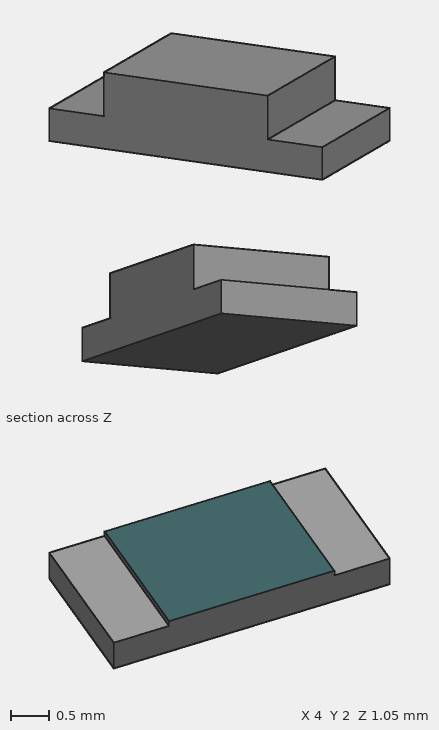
import cadquery as cq

board_length = 4.0
board_width = 2.0
board_thickness = 0.45

body_length = 2.4
body_height = 0.6

terminal_length = 0.6
pair_terminal_width = 0.6
pair_terminal_gap = 0.4
single_terminal_width = 0.76
pair_offset = (pair_terminal_width + pair_terminal_gap) / 2


def block(length, width, height, center_x=0, center_y=0, base_z=0):
    """Box centred in X and Y, standing on base_z."""
    return (
        cq.Workplane("XY")
        .box(length, width, height, centered=(True, True, False))
        .translate((center_x, center_y, base_z))
    )


def terminal(width, end, center_y):
    """Terminal at the -X end (end = -1) or the +X end (end = 1)."""
    center_x = end * (board_length - terminal_length) / 2
    return block(terminal_length, width, board_thickness, center_x, center_y)


board = block(board_length, board_width, board_thickness)
body = block(body_length, board_width, body_height, base_z=board_thickness)

terminals = [
    terminal(pair_terminal_width, -1, -pair_offset),
    terminal(pair_terminal_width, -1, pair_offset),
    terminal(single_terminal_width, 1, 0),
]

result = board.union(body, clean=False)
for pad in terminals:
    result = result.union(pad, clean=False)